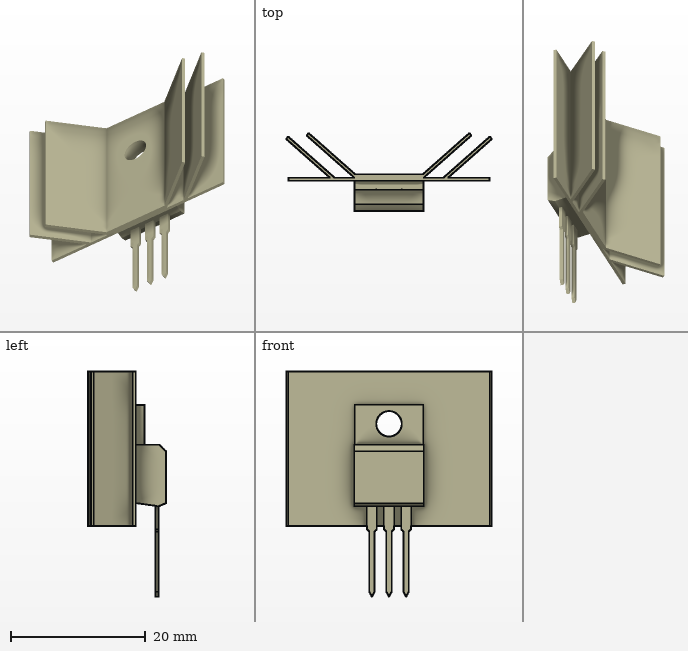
import cadquery as cq
import math


SINK_HEIGHT = 23.0
PLATE_WIDTH = 29.95
PLATE_THICKNESS = 0.47
CORE_THICKNESS = 1.02
FIN_ANGLE = math.radians(41.5)
FIN_THICKNESS = 0.485
INNER_FIN_ROOT_X = 5.17
INNER_FIN_LENGTH = 9.47
OUTER_FIN_ROOT_X = 8.8
OUTER_FIN_LENGTH = 8.685

CASE_WIDTH = 10.3
CASE_DEPTH = 4.5
CASE_TOP_Z = 12.1
CASE_BOTTOM_Z = 2.93
CASE_BOTTOM_RISE = 0.47
CASE_CHAMFER = 1.0

TAB_WIDTH = 10.15
TAB_THICKNESS = 1.3
TAB_TOP_Z = 18.0
TAB_EMBEDDING = 1.0
HOLE_DIAMETER = 3.75
HOLE_TO_TAB_TOP = 2.8
HOLE_Z = TAB_TOP_Z - HOLE_TO_TAB_TOP

LEAD_COUNT = 3
LEAD_PITCH = 2.54
LEAD_THICKNESS = 0.5
LEAD_BACK_DEPTH = 2.91
LEAD_FRONT_DEPTH = LEAD_BACK_DEPTH + LEAD_THICKNESS
LEAD_EMBEDDING = 1.0
LEAD_SHOULDER_WIDTH = 1.5
LEAD_PIN_WIDTH = 0.82
LEAD_SHOULDER_Z = -0.48
LEAD_PIN_TOP_Z = LEAD_SHOULDER_Z - (LEAD_SHOULDER_WIDTH - LEAD_PIN_WIDTH) / 2
LEAD_TIP_Z = -10.52
LEAD_TIP_LENGTH = 0.75


def mounting_hole(depth_front, depth_back):
    """Cylinder along Y through the screw position, between two Y positions."""
    return (
        cq.Workplane("XZ", origin=(0, depth_back, 0))
        .center(0, HOLE_Z)
        .circle(HOLE_DIAMETER / 2)
        .extrude(depth_back - depth_front)
    )


def fin(root_x, length):
    """Slanted fin on the +X side; its outer face leaves the plate's back at root_x."""
    along_x, along_y = math.cos(FIN_ANGLE), math.sin(FIN_ANGLE)
    offset_x, offset_y = -FIN_THICKNESS * along_y, FIN_THICKNESS * along_x
    tip = (root_x + length * along_x, PLATE_THICKNESS + length * along_y)
    buried_length = PLATE_THICKNESS / along_y
    root = (root_x - buried_length * along_x, 0)
    inner_root_x = root[0] - FIN_THICKNESS / along_y
    points = [root, tip, (tip[0] + offset_x, tip[1] + offset_y), (inner_root_x, 0)]
    return cq.Workplane("XY").polyline(points).close().extrude(SINK_HEIGHT)


def make_heatsink():
    """Extruded plate with a thicker core behind the transistor and two fins on each side."""
    x_only = (True, False, False)
    plate = cq.Workplane("XY").box(PLATE_WIDTH, PLATE_THICKNESS, SINK_HEIGHT, centered=x_only)
    core_width = 2 * INNER_FIN_ROOT_X
    core = cq.Workplane("XY").box(core_width, CORE_THICKNESS, SINK_HEIGHT, centered=x_only)
    body = plate.union(core)
    for root_x, length in ((INNER_FIN_ROOT_X, INNER_FIN_LENGTH), (OUTER_FIN_ROOT_X, OUTER_FIN_LENGTH)):
        right_fin = fin(root_x, length)
        body = body.union(right_fin).union(right_fin.mirror("YZ"))
    return body.cut(mounting_hole(0, CORE_THICKNESS))


def make_case():
    """Moulded case: a side profile extruded across X."""
    profile = [
        (0, CASE_TOP_Z),
        (-(CASE_DEPTH - CASE_CHAMFER), CASE_TOP_Z),
        (-CASE_DEPTH, CASE_TOP_Z - CASE_CHAMFER),
        (-CASE_DEPTH, CASE_BOTTOM_Z + CASE_BOTTOM_RISE),
        (-LEAD_FRONT_DEPTH, CASE_BOTTOM_Z),
        (0, CASE_BOTTOM_Z + CASE_BOTTOM_RISE),
    ]
    return cq.Workplane("YZ").polyline(profile).close().extrude(CASE_WIDTH / 2, both=True)


def make_tab():
    """Metal mounting tab with the screw hole, flush with the back of the case."""
    tab_bottom_z = CASE_TOP_Z - TAB_EMBEDDING
    tab = cq.Workplane("XY", origin=(0, -TAB_THICKNESS, tab_bottom_z)).box(
        TAB_WIDTH, TAB_THICKNESS, TAB_TOP_Z - tab_bottom_z, centered=(True, False, False)
    )
    return tab.cut(mounting_hole(-TAB_THICKNESS, 0))


def make_lead(center_x):
    """Flat lead with a wide shoulder, a narrow pin and a pointed tip."""
    half_shoulder = LEAD_SHOULDER_WIDTH / 2
    half_pin = LEAD_PIN_WIDTH / 2
    top_z = CASE_BOTTOM_Z + LEAD_EMBEDDING
    right_side = [
        (half_shoulder, top_z),
        (half_shoulder, LEAD_SHOULDER_Z),
        (half_pin, LEAD_PIN_TOP_Z),
        (half_pin, LEAD_TIP_Z + LEAD_TIP_LENGTH),
    ]
    left_side = [(-x, z) for x, z in reversed(right_side)]
    outline = right_side + [(0, LEAD_TIP_Z)] + left_side
    return (
        cq.Workplane("XZ", origin=(center_x, -LEAD_BACK_DEPTH, 0))
        .polyline(outline)
        .close()
        .extrude(LEAD_THICKNESS)
    )


def make_transistor():
    """Case, tab and leads as one body."""
    body = make_case().union(make_tab())
    for index in range(LEAD_COUNT):
        body = body.union(make_lead((index - (LEAD_COUNT - 1) / 2) * LEAD_PITCH))
    return body


heatsink = make_heatsink()
transistor = make_transistor()

result = cq.Compound.makeCompound([heatsink.val(), transistor.val()])